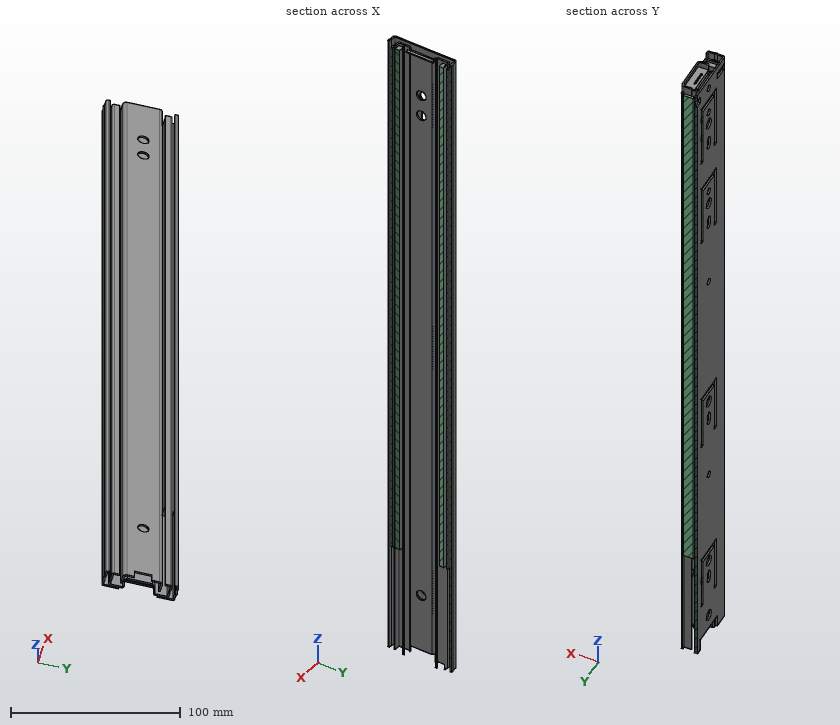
import cadquery as cq

TOP_Z = 225.0
INNER_BOTTOM_Z = -225.0
RAIL_BOTTOM_Z = -223.5
BACK_X = -6.5
FRONT_X = 6.5
OVERALL_WIDTH = 45.5
SHEET = 1.12

TRACK_PEAK_Y = OVERALL_WIDTH / 2
TRACK_RISE = 0.5
OUTER_HALF_WIDTH = TRACK_PEAK_Y - TRACK_RISE
OUTER_LIP_X = 5.0
OUTER_MOUTH_HALF_WIDTH = 20.0
OUTER_CORNER = 1.25
TRACK_X = -0.68
TRACK_RADIUS = 2.4
TRACK_CENTRE_Y = TRACK_PEAK_Y - TRACK_RADIUS

MIDDLE_BACK_X = BACK_X + SHEET
MIDDLE_LIP_X = 4.5
MIDDLE_HALF_WIDTH = 18.5
MIDDLE_MOUTH_HALF_WIDTH = 14.0
MIDDLE_CORNER = 1.5
MIDDLE_GROOVE_DEPTH = TRACK_RISE
MIDDLE_TOP_Z = 222.8
STEP_RISE = 2.4
STEP_TOP_HALF_WIDTH = 7.5
STEP_FOOT_HALF_WIDTH = 10.0

INNER_HALF_WIDTH = 12.0
INNER_TIP_X = -0.68
INNER_CORNER = 2.2

OUTER_NOTCH_HALF_WIDTH = 11.5
OUTER_NOTCH_TOP_Z = -215.5
MIDDLE_NOTCH_HALF_WIDTH = 9.0
MIDDLE_NOTCH_TOP_Z = -218.0
INNER_NOTCH_HALF_WIDTH = 5.5
INNER_NOTCH_TOP_Z = -220.0

TONGUES = [(209.2, 165.5), (145.5, 101.5), (-23.5, -62.0), (-152.5, -190.0)]
TONGUE_HALF_WIDTH = 7.5
TONGUE_SLOT_HALF_WIDTH = 10.5
TONGUE_GAP = 3.38

SMALL_HOLE = 4.0
SMALL_HOLES_Z = [218.0, 198.5, 135.0, 62.5, -92.2]
LARGE_HOLE = 6.8
LARGE_HOLES_Z = [189.5, 125.5, -33.8, -161.5, -205.0]
SLOT_LENGTH = 8.5
SLOTS_Z = [174.0, 110.2, -47.2, -174.0]

SIGHT_HOLE = 6.8
SIGHT_HOLES_Z = [192.5, 177.8, -177.5]

WINDOW_INNER_Y = 11.5
WINDOW_OUTER_Y = 20.5
WINDOW_BOTTOM_Z = 216.0
WINDOW_TOP_Z = 220.0

CAGE_TOP_Z = 221.5
CAGE_BOTTOM_Z = -148.5
OUTER_CAGE_HALF_WIDTH_X = 1.58
OUTER_CAGE_Y = (19.0, 20.2)
INNER_CAGE_X = (-3.5, 3.0)
INNER_CAGE_Y = (14.0, 17.0)

STOP_BACK_X = -1.58
STOP_HALF_WIDTH = 9.5
STOP_SLOT_X = (0.22, 1.12)
STOP_SLOT_HALF_WIDTH = 5.0
STOP_TOP_Z = MIDDLE_TOP_Z
STOP_BOTTOM_Z = STOP_TOP_Z - SHEET


def block(x0, x1, y0, y1, z0, z1):
    """Box between two opposite corners."""
    size = (x1 - x0, y1 - y0, z1 - z0)
    return cq.Workplane("XY").box(*size, centered=False).translate((x0, y0, z0))


def centred_block(x0, x1, half_width, z0, z1):
    """Box that is symmetric about Y = 0."""
    return block(x0, x1, -half_width, half_width, z0, z1)


def track_rod(radius, centre_y, z0, z1):
    """Rod along a ball track."""
    return cq.Workplane("XY", origin=(TRACK_X, centre_y, z0)).circle(radius).extrude(z1 - z0)


def lipped_channel(back_x, lip_x, half_width, mouth_half_width, corner, top_z):
    """C section that opens toward +X between two inward lips."""
    span = (RAIL_BOTTOM_Z, top_z)
    shell = centred_block(back_x, lip_x, half_width, *span).edges("|Z").fillet(corner)
    cavity = centred_block(back_x + SHEET, lip_x - SHEET, half_width - SHEET, *span)
    cavity = cavity.edges("|Z").fillet(corner - SHEET)
    mouth = centred_block(0, lip_x, mouth_half_width, *span)
    return shell.cut(cavity).cut(mouth)


def web_hole(diameter, z, back_x, front_x):
    """Cutter for a round hole on the centre line of a web."""
    plane = cq.Workplane("YZ", origin=(back_x, 0, z))
    return plane.circle(diameter / 2).extrude(front_x - back_x)


def web_slot(length, width, z, back_x, front_x):
    """Cutter for an upright round-ended slot on the centre line of a web."""
    plane = cq.Workplane("YZ", origin=(back_x, 0, z))
    return plane.slot2D(length, width, 90).extrude(front_x - back_x)


def tongue_slot(top_z, bottom_z, front_x):
    """Cutter for the U-shaped slot around a tongue that is rooted at its lower end."""
    slot = centred_block(BACK_X, front_x, TONGUE_SLOT_HALF_WIDTH, bottom_z, top_z)
    tongue = centred_block(BACK_X, front_x, TONGUE_HALF_WIDTH, bottom_z, top_z - TONGUE_GAP)
    return slot.cut(tongue)


def cut_sight_holes(rail):
    for z in SIGHT_HOLES_Z:
        rail = rail.cut(web_hole(SIGHT_HOLE, z, BACK_X + SHEET, FRONT_X))
    return rail


def make_outer_rail():
    rail = lipped_channel(
        BACK_X, OUTER_LIP_X, OUTER_HALF_WIDTH, OUTER_MOUTH_HALF_WIDTH, OUTER_CORNER, TOP_Z
    )
    web_front_x = BACK_X + SHEET

    for side in (-1, 1):
        rod_place = (side * TRACK_CENTRE_Y, RAIL_BOTTOM_Z, TOP_Z)
        flange_y = sorted((side * (OUTER_HALF_WIDTH - SHEET), side * TRACK_PEAK_Y))
        outside = block(BACK_X, OUTER_LIP_X, *flange_y, RAIL_BOTTOM_Z, TOP_Z)
        rail = rail.union(track_rod(TRACK_RADIUS, *rod_place).intersect(outside))
        rail = rail.cut(track_rod(TRACK_RADIUS - SHEET, *rod_place))

    for top_z, bottom_z in TONGUES:
        rail = rail.cut(tongue_slot(top_z, bottom_z, web_front_x))
    for z in SMALL_HOLES_Z:
        rail = rail.cut(web_hole(SMALL_HOLE, z, BACK_X, web_front_x))
    for z in LARGE_HOLES_Z:
        rail = rail.cut(web_hole(LARGE_HOLE, z, BACK_X, web_front_x))
    for z in SLOTS_Z:
        rail = rail.cut(web_slot(SLOT_LENGTH, SMALL_HOLE, z, BACK_X, web_front_x))

    for side in (-1, 1):
        window_y = sorted((side * WINDOW_INNER_Y, side * WINDOW_OUTER_Y))
        rail = rail.cut(block(BACK_X, web_front_x, *window_y, WINDOW_BOTTOM_Z, WINDOW_TOP_Z))
    return rail.cut(centred_block(
        BACK_X, web_front_x, OUTER_NOTCH_HALF_WIDTH, RAIL_BOTTOM_Z, OUTER_NOTCH_TOP_Z
    ))


def step_prism(back_x):
    """Prism between the foot plane of the web step and its raised plateau."""
    plateau_x = back_x + STEP_RISE
    outline = [
        (back_x, -STEP_FOOT_HALF_WIDTH),
        (plateau_x, -STEP_TOP_HALF_WIDTH),
        (plateau_x, STEP_TOP_HALF_WIDTH),
        (back_x, STEP_FOOT_HALF_WIDTH),
    ]
    plane = cq.Workplane("XY", origin=(0, 0, RAIL_BOTTOM_Z))
    return plane.polyline(outline).close().extrude(MIDDLE_TOP_Z - RAIL_BOTTOM_Z)


def make_middle_rail():
    rail = lipped_channel(
        MIDDLE_BACK_X,
        MIDDLE_LIP_X,
        MIDDLE_HALF_WIDTH,
        MIDDLE_MOUTH_HALF_WIDTH,
        MIDDLE_CORNER,
        MIDDLE_TOP_Z,
    )
    rail = rail.union(step_prism(MIDDLE_BACK_X + SHEET)).cut(step_prism(MIDDLE_BACK_X))

    for side in (-1, 1):
        groove_y = side * (MIDDLE_HALF_WIDTH - MIDDLE_GROOVE_DEPTH + TRACK_RADIUS)
        rail = rail.cut(track_rod(TRACK_RADIUS, groove_y, RAIL_BOTTOM_Z, MIDDLE_TOP_Z))

    rail = cut_sight_holes(rail)
    plateau_front_x = MIDDLE_BACK_X + STEP_RISE + SHEET
    return rail.cut(centred_block(
        MIDDLE_BACK_X, plateau_front_x, MIDDLE_NOTCH_HALF_WIDTH, RAIL_BOTTOM_Z, MIDDLE_NOTCH_TOP_Z
    ))


def make_inner_rail():
    span = (INNER_BOTTOM_Z, TOP_Z)
    rail = centred_block(INNER_TIP_X, FRONT_X, INNER_HALF_WIDTH, *span)
    rail = rail.edges("|Z and >X").fillet(INNER_CORNER)
    cavity = centred_block(INNER_TIP_X, FRONT_X - SHEET, INNER_HALF_WIDTH - SHEET, *span)
    rail = rail.cut(cavity.edges("|Z and >X").fillet(INNER_CORNER - SHEET))

    stop_tab = centred_block(
        STOP_BACK_X, FRONT_X - SHEET, STOP_HALF_WIDTH, STOP_BOTTOM_Z, STOP_TOP_Z
    )
    stop_tab = stop_tab.cut(
        centred_block(*STOP_SLOT_X, STOP_SLOT_HALF_WIDTH, STOP_BOTTOM_Z, STOP_TOP_Z)
    )
    rail = cut_sight_holes(rail.union(stop_tab))
    notch = centred_block(
        FRONT_X - SHEET, FRONT_X, INNER_NOTCH_HALF_WIDTH, INNER_BOTTOM_Z, INNER_NOTCH_TOP_Z
    )
    return rail.cut(notch)


def make_cage(side, cage_x, cage_y):
    """Straight ball cage at one side of the slide; cage_y holds its distances from the centre."""
    strip_y = sorted(side * y for y in cage_y)
    return block(*cage_x, *strip_y, CAGE_BOTTOM_Z, CAGE_TOP_Z)


outer_rail = make_outer_rail()
middle_rail = make_middle_rail()
inner_rail = make_inner_rail()

outer_cage_x = (TRACK_X - OUTER_CAGE_HALF_WIDTH_X, TRACK_X + OUTER_CAGE_HALF_WIDTH_X)
outer_cages = [make_cage(side, outer_cage_x, OUTER_CAGE_Y) for side in (-1, 1)]
inner_cages = [make_cage(side, INNER_CAGE_X, INNER_CAGE_Y) for side in (-1, 1)]

result = cq.Compound.makeCompound([
    outer_rail.val(),
    middle_rail.val(),
    inner_rail.val(),
    *[cage.val() for cage in outer_cages],
    *[cage.val() for cage in inner_cages],
])